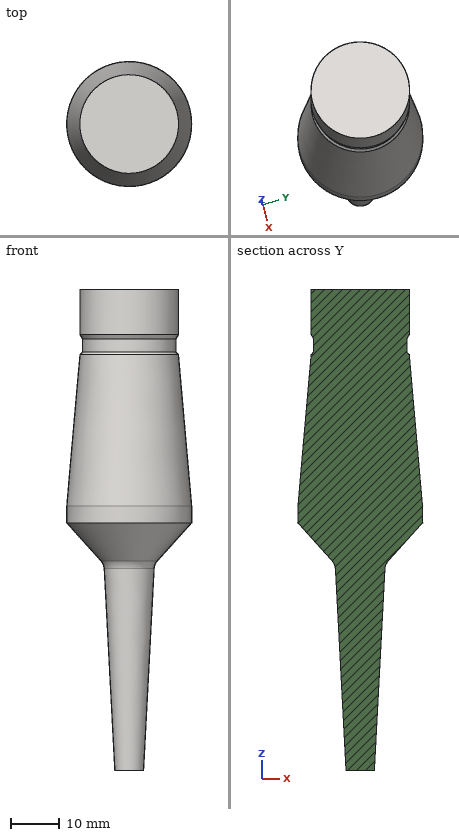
import cadquery as cq

total_length = 100.0
collar_length = 9.4
collar_chamfer_length = 0.9
groove_length = 2.75
shoulder_chamfer_length = 0.5
body_length = 31.45
band_length = 3.5
cone_length = 8.6

collar_radius = 10.25
groove_radius = 9.75
body_top_radius = collar_radius
band_radius = 13.0
stem_top_radius = 5.25
tip_radius = 3.0
neck_fillet_radius = 2.5

collar_bottom = total_length - collar_length
groove_top = collar_bottom - collar_chamfer_length
groove_bottom = groove_top - groove_length
body_top = groove_bottom - shoulder_chamfer_length
band_top = body_top - body_length
band_bottom = band_top - band_length
stem_top = band_bottom - cone_length


def turned_handle():
    """Revolve the half outline (radius, height) about the Z axis."""
    outline = [
        (0, total_length),
        (collar_radius, total_length),
        (collar_radius, collar_bottom),
        (groove_radius, groove_top),
        (groove_radius, groove_bottom),
        (body_top_radius, body_top),
        (band_radius, band_top),
        (band_radius, band_bottom),
        (stem_top_radius, stem_top),
        (tip_radius, 0),
        (0, 0),
    ]
    half_profile = cq.Workplane("XZ").polyline(outline).close()
    return half_profile.revolve(360, (0, 0), (0, 1))


def round_neck(handle):
    """Fillet the inside corner where the cone meets the stem."""
    margin = 0.1
    neck = cq.selectors.BoxSelector(
        (-band_radius, -band_radius, stem_top - margin),
        (band_radius, band_radius, stem_top + margin),
        boundingbox=True,
    )
    return handle.edges(neck).fillet(neck_fillet_radius)


result = round_neck(turned_handle())